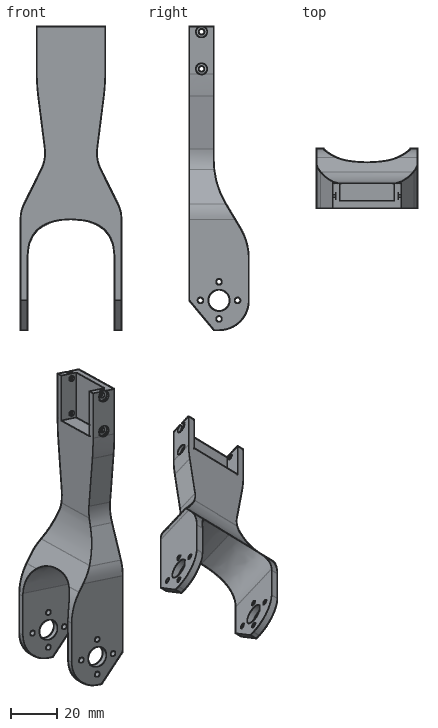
import cadquery as cq

height = 132.0
fork_width = 44.0
fork_depth = 26.0
stem_width = 29.8
stem_depth = 10.8

waist_half_width = 10.8
waist_z = 74.2
taper_start_z = 106.7
shoulder_z = 51.7
taper_radius = 76.5
waist_radius = 15.8
shoulder_radius = 15.2

slope_top_z = 63.6
slope_bottom_z = 38.3
slope_top_radius = 35.6
slope_bottom_radius = 26.4
tip_flat_y = stem_depth

arm_thickness = 3.2
arch_top_z = 48.2
arch_height = 15.8
arch_top_handle = 13.2
arch_side_handle = 9.5

pivot_height = fork_depth / 2
pivot_diameter = 9.1
bolt_diameter = 2.4
bolt_offset = 8.0

channel_width = 23.6
channel_floor_y = 3.2
channel_length = 20.7
screw_y = 5.4
screw_depths_from_top = (2.4, 18.5)
screw_diameter = 2.4
counterbore_diameter = 4.9
counterbore_depth = 1.5


def edges_at(body, line_direction, point):
    """Select the edge with the given direction that is nearest to a point."""
    return body.edges(line_direction).edges(cq.NearestToPointSelector(point))


def front_outline():
    """Waisted plate outline extruded through the full depth."""
    half_fork = fork_width / 2
    half_stem = stem_width / 2
    right_side = [
        (half_fork, 0),
        (half_fork, shoulder_z),
        (waist_half_width, waist_z),
        (half_stem, taper_start_z),
        (half_stem, height),
    ]
    left_side = [(-x, z) for x, z in reversed(right_side)]
    body = cq.Workplane("XZ").polyline(right_side + left_side).close().extrude(-fork_depth)
    blends = [
        (half_fork, shoulder_z, shoulder_radius),
        (waist_half_width, waist_z, waist_radius),
        (half_stem, taper_start_z, taper_radius),
    ]
    for x, z, radius in blends:
        for side in (-1, 1):
            body = edges_at(body, "|Y", (side * x, fork_depth / 2, z)).fillet(radius)
    return body


def side_outline():
    """Side profile with sloping back, rounded tip and bevelled front, extruded across the width."""
    body = (
        cq.Workplane("YZ")
        .moveTo(0, pivot_height)
        .lineTo(0, height)
        .lineTo(stem_depth, height)
        .lineTo(stem_depth, slope_top_z)
        .lineTo(fork_depth, slope_bottom_z)
        .lineTo(fork_depth, pivot_height)
        .radiusArc((fork_depth / 2, 0), pivot_height)
        .lineTo(tip_flat_y, 0)
        .close()
        .extrude(fork_width / 2, both=True)
    )
    body = edges_at(body, "|X", (0, stem_depth, slope_top_z)).fillet(slope_top_radius)
    return edges_at(body, "|X", (0, fork_depth, slope_bottom_z)).fillet(slope_bottom_radius)


def arch_opening():
    """Flattened arch made of two mirrored Bezier curves above straight arm faces."""
    half_gap = fork_width / 2 - arm_thickness
    spring_z = arch_top_z - arch_height
    side_handle_z = spring_z + arch_side_handle
    right_curve = [
        (0, arch_top_z),
        (arch_top_handle, arch_top_z),
        (half_gap, side_handle_z),
        (half_gap, spring_z),
    ]
    left_curve = [(-x, z) for x, z in reversed(right_curve)]
    return (
        cq.Workplane("XZ")
        .moveTo(-half_gap, 0)
        .lineTo(-half_gap, spring_z)
        .bezier(left_curve)
        .bezier(right_curve)
        .lineTo(half_gap, 0)
        .close()
        .extrude(-fork_depth)
    )


def cross_hole(y, z, diameter):
    """Cylinder along X through the whole width."""
    return cq.Workplane("YZ").center(y, z).circle(diameter / 2).extrude(fork_width / 2, both=True)


def arm_holes():
    """Pivot hole with four bolt holes around it, through both arms."""
    pivot_y = fork_depth / 2
    holes = cross_hole(pivot_y, pivot_height, pivot_diameter)
    for dy, dz in ((1, 0), (0, 1), (-1, 0), (0, -1)):
        bolt_y = pivot_y + dy * bolt_offset
        bolt_z = pivot_height + dz * bolt_offset
        holes = holes.union(cross_hole(bolt_y, bolt_z, bolt_diameter))
    return holes


def channel():
    """Channel open at the top and at the back of the stem."""
    return (
        cq.Workplane("XY", origin=(0, channel_floor_y, height - channel_length))
        .box(channel_width, fork_depth, channel_length, centered=(True, False, False))
    )


def counterbore(side, z):
    """Counterbore sunk into the outer face of one channel wall (side is -1 or 1)."""
    seat_x = stem_width / 2 - counterbore_depth
    return (
        cq.Workplane("YZ", origin=(side * seat_x, screw_y, z))
        .circle(counterbore_diameter / 2)
        .extrude(side * fork_width / 2)
    )


result = front_outline().intersect(side_outline())
result = result.cut(arch_opening()).cut(arm_holes()).cut(channel())
for depth in screw_depths_from_top:
    screw_z = height - depth
    result = result.cut(cross_hole(screw_y, screw_z, screw_diameter))
    for wall_side in (-1, 1):
        result = result.cut(counterbore(wall_side, screw_z))